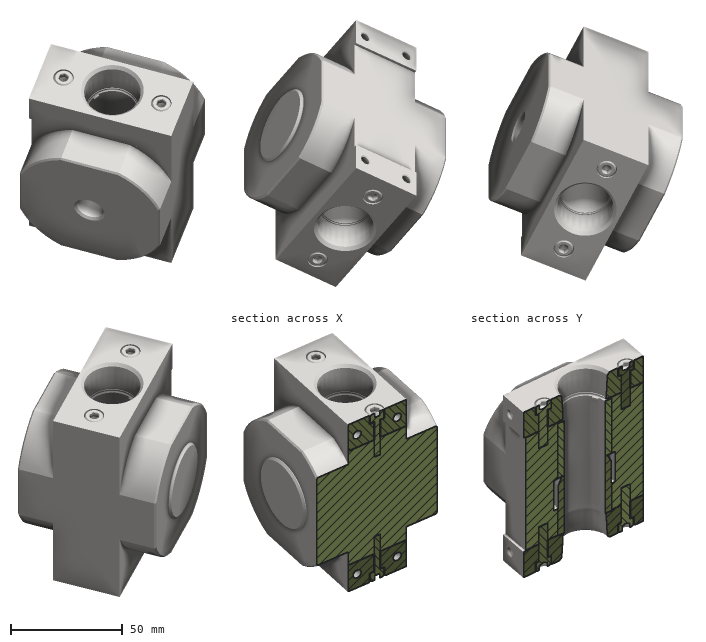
import cadquery as cq
import math

housing_size = 65.9
housing_half = housing_size / 2
block_width = 31.9
disc_diameter = 71.2
disc_chamfer = 0.8
disc_rear_extra = 0.3
disc_rear_y = housing_half + disc_rear_extra

overall_height = 96.0
end_block_overhang = 1.2
end_block_length = housing_size + end_block_overhang
end_block_height = overall_height / 2 - housing_half

entry_diameter = 25.3
entry_chamfer = 1.3
entry_land_diameter = 24.0
entry_land_height = 0.9
shoulder_diameter = 23.3
shoulder_height = 0.8
sleeve_diameter = 30.0
throat_diameter = 22.7
sleeve_recess = 0.8
upper_sleeve_top = housing_half - sleeve_recess

tab_angles = [30, 150, 270]
tab_width = 3.0
tab_tip_radius = 10.5
tab_thickness = 1.0

chamber_diameter = 34.0
chamber_height = 17.3
nozzle_cone_height = 4.2
nozzle_tip_diameter = 25.9
port_diameter = 12.5
port_bottom_diameter = 11.3
port_mouth_diameter = 14.6
port_bottom_y = -15.9

cap_diameter = 35.0
cap_thickness = 1.3
cap_chamfer = 1.0

screw_spacing = 46.1
head_diameter = 8.5
head_height = 5.0
head_chamfer = 0.62
counterbore_diameter = 9.0
shank_diameter = 5.0
shank_length = 20.0
clearance_diameter = 5.3
socket_width = 4.0
socket_mouth_diameter = 4.8
socket_depth = 2.5

side_hole_spacing = 21.9
side_hole_height = 39.9
side_hole_diameter = 4.1
side_hole_mouth_diameter = 5.0
side_hole_depth = 10.0
drill_point_angle = 118


def tapered(large_diameter, small_diameter, height, base, direction):
    """Cone that starts at its large end."""
    return cq.Solid.makeCone(large_diameter / 2, small_diameter / 2, height, base, direction)


def mouth_chamfer(mouth_diameter, hole_diameter, base, direction):
    """45 degree countersink that leads into a hole."""
    depth = (mouth_diameter - hole_diameter) / 2
    return tapered(mouth_diameter, hole_diameter, depth, base, direction)


def drill_point(hole_diameter, base, direction):
    """Conical bottom of a drilled hole."""
    height = hole_diameter / 2 / math.tan(math.radians(drill_point_angle / 2))
    return tapered(hole_diameter, 0, height, base, direction)


def screw_positions():
    return [(-screw_spacing / 2, 0), (screw_spacing / 2, 0)]


def upside_down(body):
    """Half turn about X, from the upper end to the lower end."""
    return body.rotate((0, 0, 0), (1, 0, 0), 180)


def cylinder_z(diameter, z_bottom, z_top):
    return cq.Workplane("XY").workplane(offset=z_bottom).circle(diameter / 2).extrude(z_top - z_bottom)


def make_housing():
    block = cq.Workplane("XY").box(housing_size, block_width, housing_size)
    disc = (
        cq.Workplane("XZ")
        .circle(disc_diameter / 2)
        .extrude(housing_half + disc_rear_y)
        .translate((0, disc_rear_y, 0))
        .intersect(cq.Workplane("XY").box(housing_size, 2 * disc_rear_y, housing_size))
        .faces("<Y or >Y")
        .chamfer(disc_chamfer)
    )
    housing = block.union(disc)

    housing = housing.cut(cylinder_z(sleeve_diameter, -housing_half, housing_half))
    housing = housing.cut(cylinder_z(chamber_diameter, -chamber_height, 0))

    port_direction = cq.Vector(0, 1, 0)
    port_mouth = cq.Vector(0, -housing_half, 0)
    port_depth = port_bottom_y + housing_half
    housing = housing.cut(
        cq.Workplane(tapered(port_diameter, port_bottom_diameter, port_depth, port_mouth, port_direction))
    )
    housing = housing.cut(
        cq.Workplane(mouth_chamfer(port_mouth_diameter, port_diameter, port_mouth, port_direction))
    )

    hole_depth = shank_length - (end_block_height - head_height)
    holes = (
        cq.Workplane("XY")
        .workplane(offset=housing_half - hole_depth)
        .pushPoints(screw_positions())
        .circle(shank_diameter / 2)
        .extrude(hole_depth)
    )
    return housing.cut(holes).cut(upside_down(holes))


def make_end_block():
    """Upper end block."""
    top = overall_height / 2
    block = (
        cq.Workplane("XY")
        .box(end_block_length, block_width, end_block_height)
        .translate((-end_block_overhang / 2, 0, top - end_block_height / 2))
    )

    entry_radius = entry_diameter / 2
    land_radius = entry_land_diameter / 2
    shoulder_radius = shoulder_diameter / 2
    shoulder_top = housing_half + shoulder_height
    entry = (
        cq.Workplane("XZ")
        .moveTo(0, housing_half)
        .lineTo(shoulder_radius, housing_half)
        .lineTo(shoulder_radius, shoulder_top)
        .lineTo(land_radius, shoulder_top)
        .lineTo(land_radius, shoulder_top + entry_land_height)
        .lineTo(entry_radius, top - entry_chamfer)
        .lineTo(entry_radius + entry_chamfer, top)
        .lineTo(0, top)
        .close()
        .revolve(360, (0, 0), (0, 1))
    )
    block = block.cut(entry)
    block = (
        block.faces(">Z")
        .workplane(origin=(0, 0, top))
        .pushPoints(screw_positions())
        .cboreHole(clearance_diameter, counterbore_diameter, head_height)
    )

    inward = cq.Vector(1, 0, 0)
    side_x = -housing_half - end_block_overhang
    for y in (-side_hole_spacing / 2, side_hole_spacing / 2):
        mouth = cq.Vector(side_x, y, side_hole_height)
        bottom = cq.Vector(side_x + side_hole_depth, y, side_hole_height)
        bore = cq.Solid.makeCylinder(side_hole_diameter / 2, side_hole_depth, mouth, inward)
        block = block.cut(cq.Workplane(bore))
        block = block.cut(cq.Workplane(drill_point(side_hole_diameter, bottom, inward)))
        block = block.cut(
            cq.Workplane(mouth_chamfer(side_hole_mouth_diameter, side_hole_diameter, mouth, inward))
        )
    return block


def make_upper_sleeve():
    """Sleeve above the air chamber, with three tabs at its open end."""
    sleeve = cylinder_z(sleeve_diameter, 0, upper_sleeve_top)
    sleeve = sleeve.cut(cylinder_z(throat_diameter, 0, upper_sleeve_top))
    tab_outer_radius = (sleeve_diameter + throat_diameter) / 4
    tab_z = upper_sleeve_top - tab_thickness / 2
    tab_length = tab_outer_radius - tab_tip_radius
    for angle in tab_angles:
        tab = (
            cq.Workplane("XY")
            .box(tab_length, tab_width, tab_thickness)
            .translate((tab_tip_radius + tab_length / 2, 0, tab_z))
            .rotate((0, 0, 0), (0, 0, 1), angle)
        )
        sleeve = sleeve.union(tab)
    return sleeve


def make_lower_sleeve():
    """Sleeve below, with a cone at its top that stands in the air chamber."""
    sleeve = cylinder_z(sleeve_diameter, -housing_half, -nozzle_cone_height)
    cone = tapered(
        sleeve_diameter,
        nozzle_tip_diameter,
        nozzle_cone_height,
        cq.Vector(0, 0, -nozzle_cone_height),
        cq.Vector(0, 0, 1),
    )
    return sleeve.union(cq.Workplane(cone)).cut(cylinder_z(throat_diameter, -housing_half, 0))


def make_cap():
    return (
        cq.Workplane("XZ", origin=(0, disc_rear_y, 0))
        .circle(cap_diameter / 2)
        .extrude(-cap_thickness)
        .faces(">Y")
        .chamfer(cap_chamfer)
    )


def make_screw():
    """Upper screw on the Z axis, its head flush with the end block."""
    top = overall_height / 2
    seat = top - head_height
    head = cylinder_z(head_diameter, seat, top).faces(">Z").chamfer(head_chamfer)
    screw = head.union(cylinder_z(shank_diameter, seat - shank_length, seat))
    socket = (
        cq.Workplane("XY")
        .workplane(offset=top - socket_depth)
        .polygon(6, socket_width, circumscribed=True)
        .extrude(socket_depth)
    )
    socket_bottom = cq.Vector(0, 0, top - socket_depth)
    socket_point = drill_point(socket_width, socket_bottom, cq.Vector(0, 0, -1))
    socket_mouth = mouth_chamfer(
        socket_mouth_diameter, socket_width, cq.Vector(0, 0, top), cq.Vector(0, 0, -1)
    )
    return screw.cut(socket).cut(cq.Workplane(socket_point)).cut(cq.Workplane(socket_mouth))


housing = make_housing()
upper_end_block = make_end_block()
lower_end_block = upper_end_block.mirror("XY")
upper_sleeve = make_upper_sleeve()
lower_sleeve = make_lower_sleeve()
cap = make_cap()

screws = []
for x, y in screw_positions():
    upper_screw = make_screw().translate((x, y, 0))
    screws.append(upper_screw.val())
    screws.append(upside_down(upper_screw).val())

result = cq.Compound.makeCompound(
    [
        housing.val(),
        upper_end_block.val(),
        lower_end_block.val(),
        upper_sleeve.val(),
        lower_sleeve.val(),
        cap.val(),
        *screws,
    ]
)